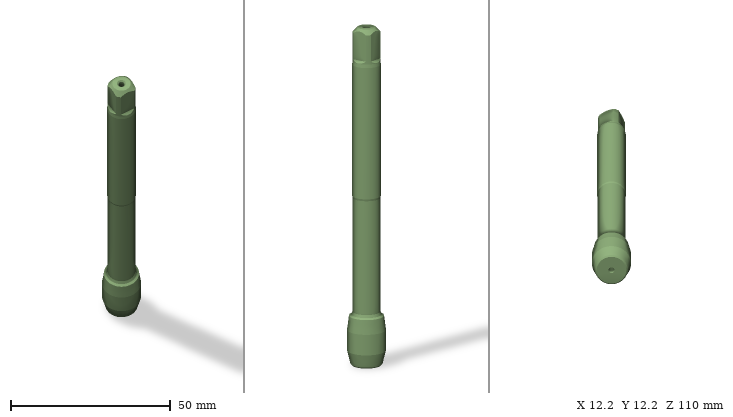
import cadquery as cq

total_length = 110.0
coolant_hole_diameter = 2.0
countersink_diameter = 2.9

head_diameter = 12.2
head_length = 16.5
head_rear_edge_z = 16.1
head_rear_diameter = 11.0
head_shoulder_z = 11.4
lead_top_z = 4.7
lead_tip_diameter = 10.1
tip_chamfer = 0.4

neck_diameter = 8.7
neck_flare_diameter = 9.6
neck_flare_height = 0.9
shank_diameter = 9.0
shank_start_z = 55.1
shank_step_height = 0.7
shank_end_z = 97.9

square_width = 7.2
square_corner_diameter = 8.7
corner_taper_height = 1.1
square_flat_bottom_z = 99.9
end_face_diameter = 5.7


def revolve_profile(points):
    """Turn a closed (radius, Z) outline about the Z axis."""
    return cq.Workplane("XZ").polyline(points).close().revolve(360, (0, 0, 0), (0, 1, 0))


def coolant_hole():
    """Cutter for the axial hole and the countersink in the upper end."""
    hole_radius = coolant_hole_diameter / 2
    countersink_radius = countersink_diameter / 2
    countersink_depth = countersink_radius - hole_radius
    return revolve_profile([
        (0, 0),
        (hole_radius, 0),
        (hole_radius, total_length - countersink_depth),
        (countersink_radius, total_length),
        (0, total_length),
    ])


def square_flat_cutter():
    """Cutter for the +X flat, with a 45 degree run-out at its lower end."""
    half_width = square_width / 2
    cut_reach = shank_diameter
    run_out = cut_reach - half_width
    return (
        cq.Workplane("XZ")
        .polyline([
            (half_width, total_length),
            (half_width, square_flat_bottom_z),
            (cut_reach, square_flat_bottom_z - run_out),
            (cut_reach, total_length),
        ])
        .close()
        .extrude(shank_diameter / 2, both=True)
    )


def make_head():
    """Barrel-shaped cutting head with a tapered lead and a tapered rear."""
    lead_radius = lead_tip_diameter / 2
    profile = [
        (0, 0),
        (lead_radius - tip_chamfer, 0),
        (lead_radius, tip_chamfer),
        (head_diameter / 2, lead_top_z),
        (head_diameter / 2, head_shoulder_z),
        (head_rear_diameter / 2, head_rear_edge_z),
        (neck_flare_diameter / 2, head_length),
        (0, head_length),
    ]
    return revolve_profile(profile).cut(coolant_hole())


def make_shank():
    """Neck, stepped shank and driving square, standing on the head."""
    shank_radius = shank_diameter / 2
    corner_radius = square_corner_diameter / 2
    end_radius = end_face_diameter / 2
    end_chamfer = corner_radius - end_radius
    flare_top_z = head_length + neck_flare_height
    taper_top_z = shank_end_z + corner_taper_height
    profile = [
        (0, head_length),
        (neck_flare_diameter / 2, head_length),
        (neck_diameter / 2, flare_top_z),
        (neck_diameter / 2, shank_start_z - shank_step_height),
        (shank_radius, shank_start_z),
        (shank_radius, shank_end_z),
        (corner_radius, taper_top_z),
        (corner_radius, total_length - end_chamfer),
        (end_radius, total_length),
        (0, total_length),
    ]
    shank = revolve_profile(profile).cut(coolant_hole())
    flat = square_flat_cutter()
    for side in range(4):
        shank = shank.cut(flat.rotate((0, 0, 0), (0, 0, 1), 90 * side))
    return shank


head = make_head()
shank = make_shank()

result = cq.Compound.makeCompound([head.val(), shank.val()])